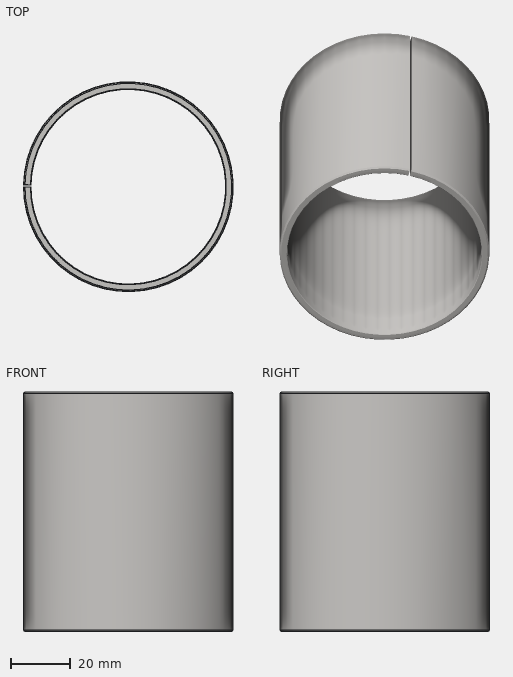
import cadquery as cq

outer_diameter = 70.0
wall_thickness = 2.5
length = 80.0
outer_chamfer = 0.5
inner_chamfer = 0.2
slit_angle = 1.0

outer_radius = outer_diameter / 2
inner_radius = outer_radius - wall_thickness
full_turn = 360.0
half_turn = full_turn / 2


def wall_section():
    """Wall cross-section in the XZ plane, chamfered at all four rims."""
    rim_outer = outer_radius - outer_chamfer
    rim_inner = inner_radius + inner_chamfer
    return (
        cq.Workplane("XZ")
        .moveTo(rim_inner, 0)
        .lineTo(rim_outer, 0)
        .lineTo(outer_radius, outer_chamfer)
        .lineTo(outer_radius, length - outer_chamfer)
        .lineTo(rim_outer, length)
        .lineTo(rim_inner, length)
        .lineTo(inner_radius, length - inner_chamfer)
        .lineTo(inner_radius, inner_chamfer)
        .close()
    )


def split_ring():
    """Wall swept around Z, leaving the joint slit open just below +X."""
    return wall_section().revolve(full_turn - slit_angle, (0, 0, 0), (0, 1, 0))


result = split_ring().rotate((0, 0, 0), (0, 0, 1), half_turn)